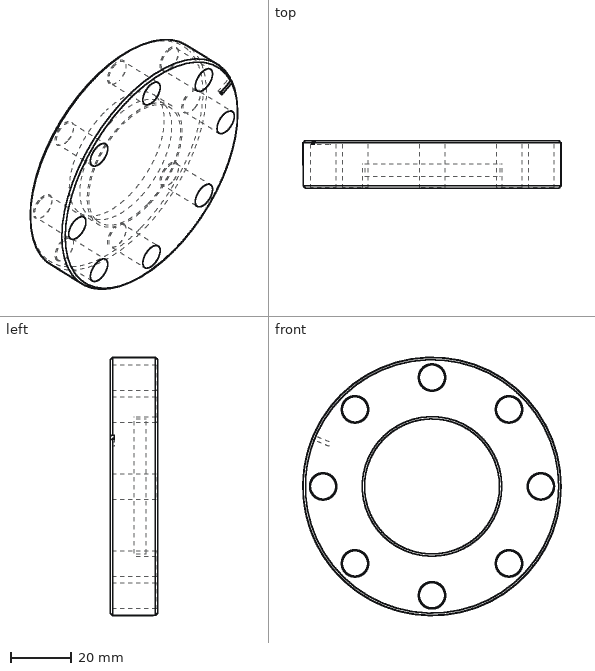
import cadquery as cq
import math

flange_diameter = 85.85
flange_thickness = 15.88
rim_chamfer = 0.8

bolt_count = 8
bolt_circle_diameter = 72.4
bolt_hole_diameter = 8.45
bolt_hole_chamfer = 0.3

recess_diameter = 46.4
recess_depth = 4.1
recess_floor_diameter = 44.9
ring_groove_depth = 4.0

notch_width = 1.4
notch_depth = 1.3
notch_length = 6.0
notch_angle = 180 / bolt_count

front_y = -flange_thickness / 2
back_y = flange_thickness / 2


def face_plane(y):
    """Workplane at position y along the flange axis, with its normal along -Y."""
    return cq.Workplane("XZ", origin=(0, y, 0))


def flange_disc():
    disc = face_plane(back_y).circle(flange_diameter / 2).extrude(flange_thickness)
    return disc.edges().chamfer(rim_chamfer)


def recess():
    floor_y = front_y + recess_depth
    pocket = face_plane(floor_y).circle(recess_diameter / 2).extrude(recess_depth)
    ring_groove = (
        face_plane(floor_y + ring_groove_depth)
        .circle(recess_diameter / 2)
        .circle(recess_floor_diameter / 2)
        .extrude(ring_groove_depth)
    )
    return pocket.union(ring_groove)


def bolt_hole():
    """Cutter for one hole on the flange axis: a cylinder that flares at the -Y face."""
    radius = bolt_hole_diameter / 2
    flare_radius = radius + bolt_hole_chamfer
    profile = (
        cq.Workplane("XY")
        .moveTo(0, front_y)
        .lineTo(flare_radius, front_y)
        .lineTo(radius, front_y + bolt_hole_chamfer)
        .lineTo(radius, back_y)
        .lineTo(0, back_y)
        .close()
    )
    return profile.revolve(360, (0, 0, 0), (0, 1, 0))


def edge_notch():
    """Cutter for the notch on the -X side, turned up towards +Z."""
    block = cq.Workplane("XY").box(2 * notch_length, 2 * notch_depth, notch_width)
    at_rim = block.translate((-flange_diameter / 2, back_y, 0))
    return at_rim.rotate((0, 0, 0), (0, 1, 0), notch_angle)


result = flange_disc().cut(recess()).cut(edge_notch())
for index in range(bolt_count):
    angle = 2 * math.pi * index / bolt_count
    hole_x = bolt_circle_diameter / 2 * math.cos(angle)
    hole_z = bolt_circle_diameter / 2 * math.sin(angle)
    result = result.cut(bolt_hole().translate((hole_x, 0, hole_z)))